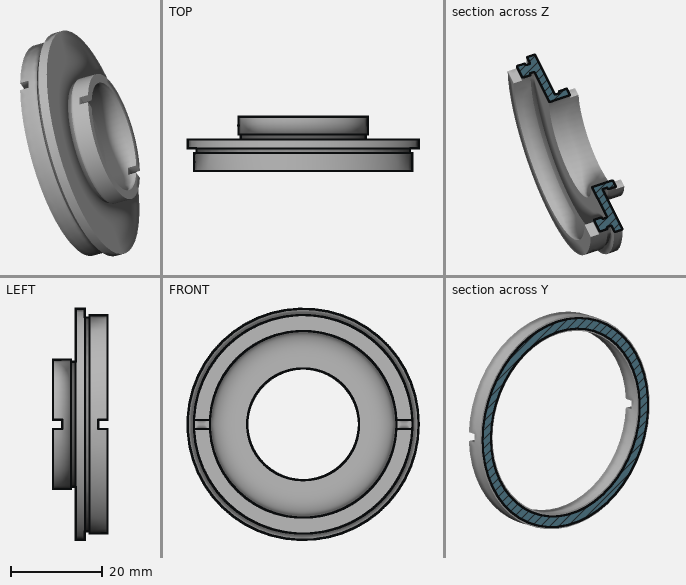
import cadquery as cq

ring_length = 4.0
ring_relief_length = 1.0
flange_length = 2.0
boss_relief_length = 1.0
boss_length = 4.0

flange_diameter = 50.8
ring_diameter = 48.0
ring_relief_diameter = 47.0
boss_diameter = 28.5
boss_relief_diameter = 27.5
bore_diameter = 24.5
recess_diameter = 41.0
recess_relief_diameter = 42.0

recess_wall_length = 4.0
recess_relief_length = 1.0

slot_width = 2.0
slot_depth = 2.0

total_length = ring_length + ring_relief_length + flange_length + boss_relief_length + boss_length


def disc(start_y, length, diameter):
    """Solid cylinder on the Y axis, running from start_y towards +Y."""
    base = cq.Workplane("XZ", origin=(0, start_y, 0))
    return base.circle(diameter / 2).extrude(-length)


def stacked_discs(start_y, sections):
    """Coaxial cylinders joined end to end from (length, diameter) pairs."""
    body = cq.Workplane("XZ")
    section_start = start_y
    for length, diameter in sections:
        body = body.union(disc(section_start, length, diameter))
        section_start += length
    return body


def spanner_slot(start_y):
    """Bar along X that cuts a slot right across one end face."""
    bar = cq.Workplane("XY").box(flange_diameter, slot_depth, slot_width)
    return bar.translate((0, start_y + slot_depth / 2, 0))


front_y = -total_length / 2
back_y = total_length / 2

body = stacked_discs(
    front_y,
    [
        (ring_length, ring_diameter),
        (ring_relief_length, ring_relief_diameter),
        (flange_length, flange_diameter),
        (boss_relief_length, boss_relief_diameter),
        (boss_length, boss_diameter),
    ],
)
bore = disc(front_y, total_length, bore_diameter)
recess = stacked_discs(
    front_y,
    [
        (recess_wall_length, recess_diameter),
        (recess_relief_length, recess_relief_diameter),
    ],
)

result = body.cut(bore).cut(recess)
for slot_start in (front_y, back_y - slot_depth):
    result = result.cut(spanner_slot(slot_start))